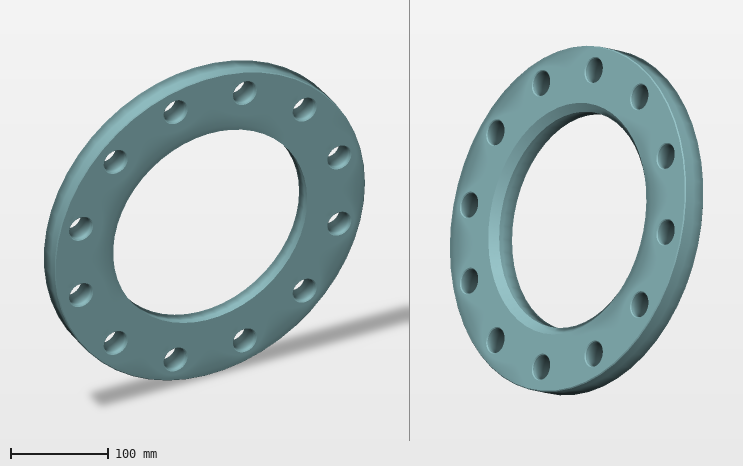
import cadquery as cq

outer_diameter = 360.0
thickness = 26.0
bore_diameter = 225.0

bevel_depth = 8.0

hole_count = 12
hole_diameter = 26.0
bolt_circle_diameter = 310.0
first_hole_angle = 360 / hole_count / 2

edge_chamfer = 1.0

near_face = cq.Workplane("YZ", origin=(-thickness / 2, 0, 0))


def drilled_disc():
    """Disc with its bolt holes, chamfered along every rim on both faces."""
    disc = near_face.circle(outer_diameter / 2).extrude(thickness)
    holes = (
        near_face.polarArray(bolt_circle_diameter / 2, first_hole_angle, 360, hole_count)
        .circle(hole_diameter / 2)
        .extrude(thickness)
    )
    return disc.cut(holes).faces("<X or >X").edges().chamfer(edge_chamfer)


def bore():
    """Through-bore cutter."""
    return near_face.circle(bore_diameter / 2).extrude(thickness)


def bore_bevel():
    """Cone that widens the bore at the -X face."""
    bore_radius = bore_diameter / 2
    mouth_radius = bore_radius + bevel_depth
    base_center = cq.Vector(-thickness / 2, 0, 0)
    axis = cq.Vector(1, 0, 0)
    return cq.Solid.makeCone(mouth_radius, bore_radius, bevel_depth, base_center, axis)


result = drilled_disc().cut(bore()).cut(bore_bevel())